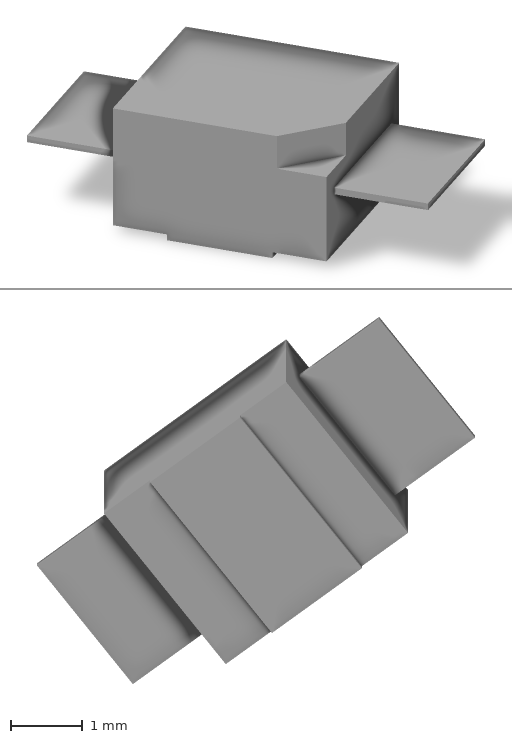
import cadquery as cq

overall_length = 6.0
housing_length = 3.2
housing_width = 2.8
housing_height = 1.81

foot_length = 1.58
foot_height = 0.09

notch_leg = 0.745
notch_depth = 0.505

lens_diameter = 2.4
lens_depth = 0.5

lead_width = 2.2
lead_thickness = 0.1
lead_bottom = 0.905
lead_length = (overall_length - housing_length) / 2


def make_lens():
    """Disc whose upper face lies at the top of the housing."""
    return (
        cq.Workplane("XY")
        .workplane(offset=housing_height - lens_depth)
        .circle(lens_diameter / 2)
        .extrude(lens_depth)
    )


def make_corner_notch():
    """Triangular prism removed from the upper +X, -Y corner."""
    corner_x = housing_length / 2
    corner_y = -housing_width / 2
    return (
        cq.Workplane("XY")
        .workplane(offset=housing_height - notch_depth)
        .moveTo(corner_x, corner_y)
        .lineTo(corner_x, corner_y + notch_leg)
        .lineTo(corner_x - notch_leg, corner_y)
        .close()
        .extrude(notch_depth)
    )


def make_housing():
    """Block on a foot, with its corner notched and a recess for the lens."""
    block = cq.Workplane("XY").rect(housing_length, housing_width).extrude(housing_height)
    foot = cq.Workplane("XY").rect(foot_length, housing_width).extrude(-foot_height)
    return block.union(foot).cut(make_corner_notch()).cut(make_lens())


def make_lead(side):
    """Flat lead standing out from the end wall on the given side (-1 or +1)."""
    return (
        cq.Workplane("XY")
        .workplane(offset=lead_bottom)
        .center(side * (housing_length + lead_length) / 2, 0)
        .rect(lead_length, lead_width)
        .extrude(lead_thickness)
    )


housing = make_housing()
lens = make_lens()
leads = [make_lead(side) for side in (-1, 1)]

result = cq.Compound.makeCompound([housing.solids().val(), lens.val(), *[lead.val() for lead in leads]])